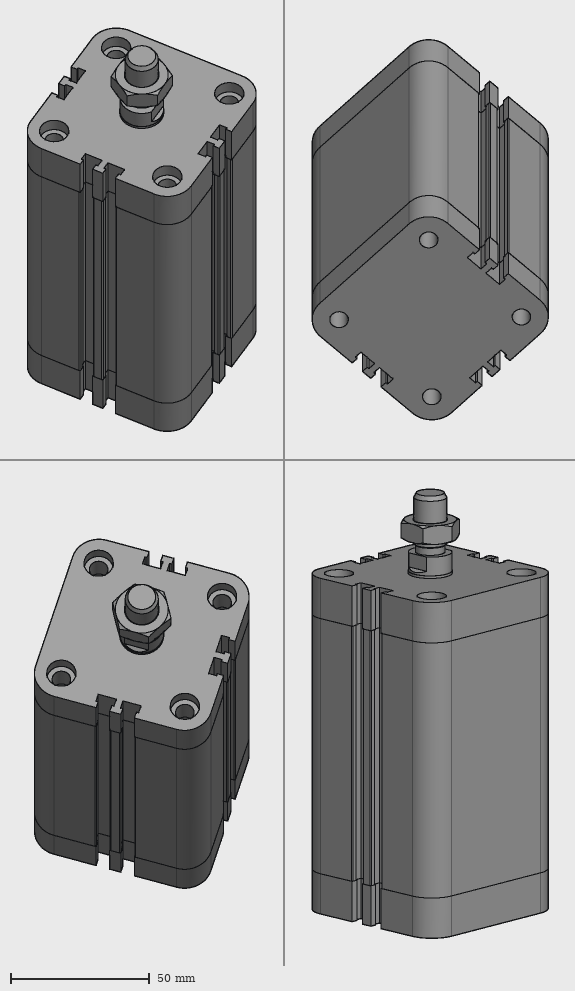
import cadquery as cq
import math

TOTAL_HEIGHT = 155.0
BODY_WIDTH = 66.0
CORNER_RADIUS = 9.9
BODY_HEIGHT = 125.1
CAP_HEIGHT = 15.0
BARREL_HEIGHT = BODY_HEIGHT - 2 * CAP_HEIGHT
HALF_WIDTH = BODY_WIDTH / 2

HOLE_OFFSET = 23.2
HOLE_DIAMETER = 6.7
COUNTERBORE_DIAMETER = 10.5
COUNTERBORE_DEPTH = 5.0

SLOT_CENTRE = 4.6
SLOT_OPENING = 5.1
SLOT_INNER_WIDTH = 6.8
SLOT_DEPTH = 5.5
CAP_LIP = 2.5
BARREL_LIP = 2.0
BARREL_SLOT_CHAMFER = 0.5
SLOT_SIDE_ANGLES = (-90, 0, 90)

COLLAR_DIAMETER = 16.0
COLLAR_HEIGHT = 1.0
ROD_DIAMETER = 15.8
SHOULDER_Z = 133.0
NECK_DIAMETER = 10.7
NECK_TOP_Z = 135.6
THREAD_RUNOUT = 0.5
THREAD_DIAMETER = 12.0
THREAD_TIP_DIAMETER = 10.0
THREAD_TIP_HEIGHT = 1.7
FLAT_WIDTH = 13.0
FLAT_BOTTOM_Z = 127.7
FLAT_RAMP_DROP = 1.0

NUT_WIDTH = 19.0
NUT_HEIGHT = 7.0
NUT_BOTTOM_Z = 138.1
NUT_CHAMFER_ANGLE = 30
NUT_BORE_CHAMFER = 0.3


def block(bottom, height):
    """Square prism with rounded vertical edges."""
    plain = cq.Workplane("XY").workplane(offset=bottom).rect(BODY_WIDTH, BODY_WIDTH).extrude(height)
    return plain.edges("|Z").fillet(CORNER_RADIUS)


def hole_cutters(diameter, bottom, height):
    """Cylinders at the four screw positions."""
    plane = cq.Workplane("XY").workplane(offset=bottom)
    centres = plane.rect(2 * HOLE_OFFSET, 2 * HOLE_OFFSET, forConstruction=True).vertices()
    return centres.circle(diameter / 2).extrude(height)


def slot_cutter(centre_x, lip, mouth_chamfer, bottom, height):
    """T-slot opening to the -Y side, with an optional chamfer at its mouth."""
    half_opening = SLOT_OPENING / 2
    half_inner = SLOT_INNER_WIDTH / 2
    half_mouth = half_opening + mouth_chamfer
    face = -HALF_WIDTH
    half_outline = [(half_mouth, face)]
    if mouth_chamfer > 0:
        half_outline.append((half_opening, face + mouth_chamfer))
    half_outline += [
        (half_opening, face + lip),
        (half_inner, face + lip),
        (half_inner, face + SLOT_DEPTH),
    ]
    outline = half_outline + [(-x, y) for x, y in reversed(half_outline)]
    plane = cq.Workplane("XY", origin=(centre_x, 0, bottom))
    return plane.polyline(outline).close().extrude(height)


def body_section(bottom, height, lip, mouth_chamfer=0):
    """Rounded block with its screw holes and slots."""
    section = block(bottom, height).cut(hole_cutters(HOLE_DIAMETER, bottom, height))
    for angle in SLOT_SIDE_ANGLES:
        for centre_x in (-SLOT_CENTRE, SLOT_CENTRE):
            slot = slot_cutter(centre_x, lip, mouth_chamfer, bottom, height)
            section = section.cut(slot.rotate((0, 0, 0), (0, 0, 1), angle))
    return section


def make_rear_cap():
    return body_section(0, CAP_HEIGHT, CAP_LIP)


def make_barrel():
    return body_section(CAP_HEIGHT, BARREL_HEIGHT, BARREL_LIP, BARREL_SLOT_CHAMFER)


def make_front_cap():
    cap = body_section(BODY_HEIGHT - CAP_HEIGHT, CAP_HEIGHT, CAP_LIP)
    return cap.cut(hole_cutters(COUNTERBORE_DIAMETER, BODY_HEIGHT - COUNTERBORE_DEPTH, COUNTERBORE_DEPTH))


def rod_flat_cutter(side):
    """Material removed beside one wrench flat; side is +1 for +X and -1 for -X."""
    flat_x = FLAT_WIDTH / 2
    rod_x = ROD_DIAMETER / 2
    outline = [
        (side * flat_x, SHOULDER_Z),
        (side * flat_x, FLAT_BOTTOM_Z),
        (side * rod_x, FLAT_BOTTOM_Z - FLAT_RAMP_DROP),
        (side * rod_x, SHOULDER_Z),
    ]
    return cq.Workplane("XZ").polyline(outline).close().extrude(ROD_DIAMETER / 2, both=True)


def make_rod():
    """Turned rod standing on the front cap, with two wrench flats."""
    collar_top = BODY_HEIGHT + COLLAR_HEIGHT
    profile = [
        (0, BODY_HEIGHT),
        (COLLAR_DIAMETER / 2, BODY_HEIGHT),
        (COLLAR_DIAMETER / 2, collar_top),
        (ROD_DIAMETER / 2, collar_top),
        (ROD_DIAMETER / 2, SHOULDER_Z),
        (NECK_DIAMETER / 2, SHOULDER_Z),
        (NECK_DIAMETER / 2, NECK_TOP_Z),
        (THREAD_DIAMETER / 2, NECK_TOP_Z + THREAD_RUNOUT),
        (THREAD_DIAMETER / 2, TOTAL_HEIGHT - THREAD_TIP_HEIGHT),
        (THREAD_TIP_DIAMETER / 2, TOTAL_HEIGHT),
        (0, TOTAL_HEIGHT),
    ]
    rod = cq.Workplane("XZ").polyline(profile).close().revolve(360, (0, 0, 0), (0, 1, 0))
    for side in (-1, 1):
        rod = rod.cut(rod_flat_cutter(side))
    return rod


def make_nut():
    """Hexagon nut with corners on the Y axis, coned on both faces, with a chamfered bore."""
    bore_radius = THREAD_DIAMETER / 2
    corner_radius = NUT_WIDTH / math.sqrt(3)
    face_radius = NUT_WIDTH / 2
    cone_height = (corner_radius - face_radius) * math.tan(math.radians(NUT_CHAMFER_ANGLE))
    top = NUT_BOTTOM_Z + NUT_HEIGHT
    hexagon = (
        cq.Workplane("XY", origin=(0, 0, NUT_BOTTOM_Z))
        .polygon(6, 2 * corner_radius)
        .extrude(NUT_HEIGHT)
        .rotate((0, 0, 0), (0, 0, 1), 30)
    )
    envelope_profile = [
        (bore_radius, NUT_BOTTOM_Z + NUT_BORE_CHAMFER),
        (bore_radius + NUT_BORE_CHAMFER, NUT_BOTTOM_Z),
        (face_radius, NUT_BOTTOM_Z),
        (corner_radius, NUT_BOTTOM_Z + cone_height),
        (corner_radius, top - cone_height),
        (face_radius, top),
        (bore_radius + NUT_BORE_CHAMFER, top),
        (bore_radius, top - NUT_BORE_CHAMFER),
    ]
    envelope = cq.Workplane("XZ").polyline(envelope_profile).close().revolve(360, (0, 0, 0), (0, 1, 0))
    return hexagon.intersect(envelope)


rear_cap = make_rear_cap()
barrel = make_barrel()
front_cap = make_front_cap()
rod = make_rod()
nut = make_nut()

result = cq.Compound.makeCompound([rear_cap.val(), barrel.val(), front_cap.val(), rod.val(), nut.val()])